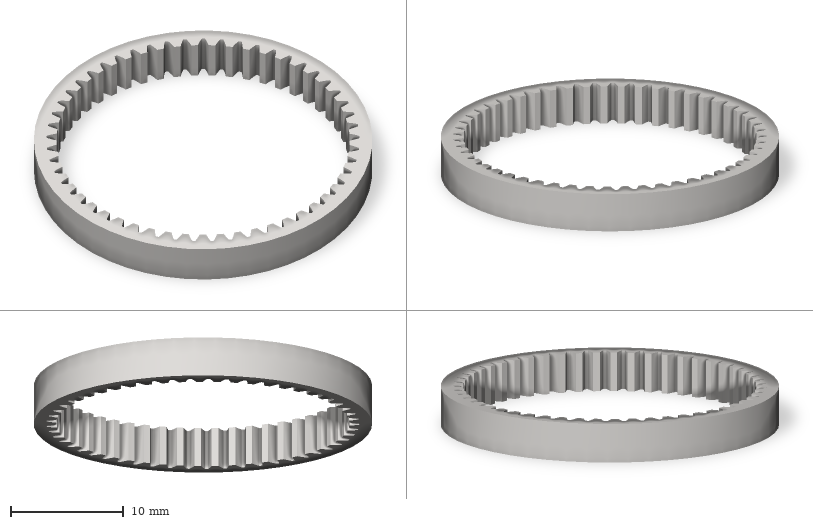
import cadquery as cq
import math

outer_diameter = 30
thickness = 3.5
tooth_count = 53
module = 1.5 / 3
pressure_angle = math.radians(20)
tip_radius = 13.0
root_clearance = module / 4
root_fillet = 0.1
bore_overlap = 0.05
flank_samples = 6

pitch_radius = module * tooth_count / 2
base_radius = pitch_radius * math.cos(pressure_angle)
root_radius = pitch_radius + module + root_clearance
gap_inner_radius = tip_radius - bore_overlap


def involute(angle):
    return math.tan(angle) - angle


def gap_half_angle(radius):
    """Half the angle of a tooth gap; it is half the tooth pitch at the pitch circle."""
    flank_angle = math.acos(base_radius / radius)
    return math.pi / (2 * tooth_count) + involute(pressure_angle) - involute(flank_angle)


def polar_point(radius, angle):
    return (radius * math.cos(angle), radius * math.sin(angle))


def tooth_gap():
    """One tooth gap centred on +X, with involute flanks and a rounded root."""
    step = (root_radius - gap_inner_radius) / flank_samples
    radii = [gap_inner_radius + i * step for i in range(flank_samples + 1)]
    upper_flank = [polar_point(r, gap_half_angle(r)) for r in radii]
    lower_flank = [(x, -y) for x, y in upper_flank]
    return (
        cq.Workplane("XY")
        .moveTo(*lower_flank[0])
        .spline(lower_flank[1:], includeCurrent=True)
        .threePointArc((root_radius, 0), upper_flank[-1])
        .spline(upper_flank[-2::-1], includeCurrent=True)
        .close()
        .extrude(thickness)
        .edges("|Z")
        .edges(">X")
        .fillet(root_fillet)
    )


def all_tooth_gaps():
    gap = tooth_gap().val()
    pitch_angle = 360 / tooth_count
    axis_start, axis_end = cq.Vector(0, 0, 0), cq.Vector(0, 0, 1)
    gaps = [gap.rotate(axis_start, axis_end, i * pitch_angle) for i in range(tooth_count)]
    return cq.Compound.makeCompound(gaps)


ring = (
    cq.Workplane("XY")
    .circle(outer_diameter / 2)
    .circle(tip_radius)
    .extrude(thickness)
)
result = ring.cut(cq.Workplane(all_tooth_gaps()))